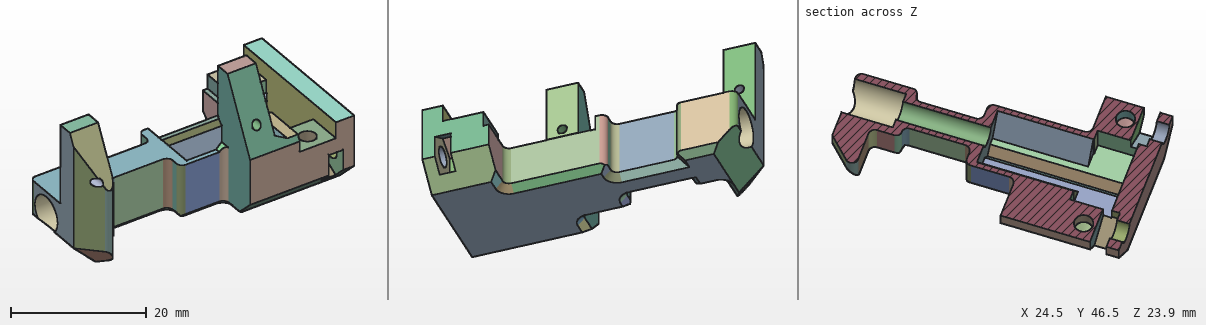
import cadquery as cq
import math

LENGTH = 46.5
WIDTH = 24.5
HALF_WIDTH = WIDTH / 2
HEIGHT = 23.9

BEAM_TOP = 9.9
BLOCK_TOP = 10.05
WALL_TOP = 12.9
LOW_WALL_TOP = 7.55
FLOOR = 1.9
BORE_Z = 6.0

HEAD_FRONT = LENGTH - 10.5
BODY_HALF = 5.55
BODY_FRONT = 20.1
BEAM_HALF = 2.45
END_HALF = 4.3
END_BACK = 9.6
ARM_THICK = 5.0
ARM_SPACING = 28.0
TAB_TIP = 10.9
CORNER_RADIUS = 0.98
SHOULDER_RADIUS = 0.9

EDGE_CHAMFER = 1.1
BIG_CHAMFER = 3.9

BACK_WALL = 3.25
CAVITY_BACK = LENGTH - BACK_WALL
HEAD_CAVITY_FRONT = LENGTH - 9.65
CAVITY_FRONT = 21.75
HEAD_CAVITY_HALF = 6.25
BODY_CAVITY_HALF = 4.7
RAMP_BACK = LENGTH - 9.8
RAMP_FOOT = 2.3
RAMP_ANGLE = 60
GROOVE_HALF = 1.2
GROOVE_DEPTH = 1.5

ARM_LEFT = 3.7
ARM_FLAT_RIGHT = 6.3
ARM_SLOPE_END_Z = 11.9
ARM_STEP_TOP = 13.8
ARM_STEP_BACK = LENGTH - 11.6
ARM_FOOT_RISE = 0.98
PIN_DIAMETER = 1.5
PIN_Z = 16.05

ARM_FRONT = ARM_SPACING
ARM_BACK = ARM_FRONT + ARM_THICK
TIP_X = TAB_TIP - CORNER_RADIUS
TIP_Y = ARM_THICK - CORNER_RADIUS
TAB_DIAGONAL_START = TIP_X - TIP_Y + CORNER_RADIUS * math.sqrt(2)

BORE_DIAMETER = 3.2
COUNTERBORE_DIAMETER = 6.0
COUNTERBORE_DEPTH = 8.0

SCREW_X = 9.5
SCREW_FROM_BACK = 6.45
SCREW_DIAMETER = 2.8
SCREW_DEPTH = 6.0
DRILL_POINT_ANGLE = 118
NUT_X = 9.0
NUT_FLATS = 5.8
NUT_BACK = LENGTH - 2.0
NUT_THICK = 2.5
NUT_SLOT_ANGLE = 30
NUT_Z = BORE_Z
BOLT_DIAMETER = 3.2

PICK = 0.05


def box(x0, x1, y0, y1, z0, z1):
    """Block between two opposite corners."""
    return cq.Workplane("XY").box(x1 - x0, y1 - y0, z1 - z0, centered=False).translate((x0, y0, z0))


def along_y(points, y0, y1):
    """Prism of an X-Z outline between two Y positions."""
    return cq.Workplane("XZ", origin=(0, y0, 0)).polyline(points).close().extrude(y0 - y1)


def along_x(points, x0, x1):
    """Prism of a Y-Z outline between two X positions."""
    return cq.Workplane("YZ", origin=(x0, 0, 0)).polyline(points).close().extrude(x1 - x0)


def rod_y(x, z, diameter, y0, y1):
    """Cylinder along Y."""
    return cq.Workplane("XZ", origin=(x, y0, z)).circle(diameter / 2).extrude(y0 - y1)


def both_sides(shape):
    """A shape joined with its mirror image across the X = 0 plane."""
    return shape.union(shape.mirror("YZ"))


def fillet_uprights(solid, corners, radius):
    """Round the vertical edges that stand at the given plan corners."""
    for x, y in corners:
        spot = cq.selectors.BoxSelector((x - PICK, y - PICK, 0), (x + PICK, y + PICK, HEIGHT))
        solid = solid.edges("|Z").edges(spot).fillet(radius)
    return solid


def full_height_body():
    """Plan outline as a tall prism with its lower edge chamfered and its upright edges rounded."""
    head_left = (-HALF_WIDTH, HEAD_FRONT)
    neck_left = (-BODY_HALF, HEAD_FRONT)
    neck_right = (BODY_HALF, ARM_FRONT)
    head_right = (HALF_WIDTH, ARM_FRONT)
    body_left, body_right = (-BODY_HALF, BODY_FRONT), (BODY_HALF, BODY_FRONT)
    beam_left, beam_right = (-BEAM_HALF, BODY_FRONT), (BEAM_HALF, BODY_FRONT)
    waist_left, waist_right = (-BEAM_HALF, END_BACK), (BEAM_HALF, END_BACK)
    end_left, end_right = (-END_HALF, END_BACK), (END_HALF, END_BACK)
    tab_root = (END_HALF, ARM_THICK)
    tab_back, tab_front = (TAB_TIP, ARM_THICK), (TAB_TIP, 0)
    front_left = (-END_HALF, 0)
    outline = [
        (-HALF_WIDTH, LENGTH), head_left, neck_left, body_left, beam_left, waist_left, end_left, front_left,
        tab_front, tab_back, tab_root, end_right, waist_right, beam_right, body_right, neck_right, head_right,
        (HALF_WIDTH, LENGTH),
    ]
    body = cq.Workplane("XY").polyline(outline).close().extrude(HEIGHT)
    body = fillet_uprights(body, [neck_left, beam_left, tab_root, beam_right, neck_right], CORNER_RADIUS)
    inside_head_sides = cq.selectors.BoxSelector(
        (PICK - HALF_WIDTH, -PICK, -PICK), (HALF_WIDTH - PICK, LENGTH - PICK, PICK)
    )
    body = body.faces("<Z").edges(inside_head_sides).chamfer(EDGE_CHAMFER)
    body = fillet_uprights(body, [waist_left, waist_right], SHOULDER_RADIUS)
    body = fillet_uprights(body, [body_left, front_left, body_right], CORNER_RADIUS)
    return fillet_uprights(body, [end_left, end_right], SHOULDER_RADIUS)


def side_profile():
    """Y-Z silhouette that sets every top height along the part."""
    points = [
        (0, 0), (0, HEIGHT), (ARM_THICK, HEIGHT), (ARM_THICK, BEAM_TOP),
        (ARM_FRONT - ARM_FOOT_RISE, BEAM_TOP), (ARM_FRONT, BEAM_TOP + ARM_FOOT_RISE),
        (ARM_FRONT, HEIGHT), (ARM_BACK, HEIGHT), (ARM_BACK, ARM_STEP_TOP), (ARM_STEP_BACK, WALL_TOP),
        (HEAD_CAVITY_FRONT, WALL_TOP), (HEAD_CAVITY_FRONT, BLOCK_TOP), (CAVITY_BACK, BLOCK_TOP),
        (CAVITY_BACK, WALL_TOP), (LENGTH, WALL_TOP), (LENGTH, 0),
    ]
    return along_x(points, -HALF_WIDTH, HALF_WIDTH)


def arm_trim():
    """Material removed left of both arms and above their sloping right edge."""
    left = box(-HALF_WIDTH, ARM_LEFT, 0, HEAD_CAVITY_FRONT, BEAM_TOP, HEIGHT)
    slope = [(ARM_FLAT_RIGHT, HEIGHT), (HALF_WIDTH, HEIGHT), (HALF_WIDTH, ARM_SLOPE_END_Z)]
    return left.union(along_y(slope, 0, HEAD_CAVITY_FRONT))


def tab_tip_trim():
    """Corner outside the 45 degree face and the round tip of the front arm."""
    diagonal = CORNER_RADIUS * math.sin(math.radians(45))
    return (
        cq.Workplane("XY")
        .moveTo(TAB_DIAGONAL_START, 0)
        .lineTo(TIP_X + diagonal, TIP_Y - diagonal)
        .threePointArc((TAB_TIP, TIP_Y), (TIP_X, ARM_THICK))
        .lineTo(HALF_WIDTH, ARM_THICK)
        .lineTo(HALF_WIDTH, 0)
        .close()
        .extrude(HEIGHT)
    )


def front_underside_trim():
    """45 degree cut under the front face, carried on along the tab's diagonal face."""
    slope_plane = cq.Plane(origin=(0, 0, BIG_CHAMFER), xDir=(1, 0, 0), normal=(0, 1, -1))
    run = HALF_WIDTH - TAB_DIAGONAL_START
    profile = [
        (-HALF_WIDTH, 0), (TAB_DIAGONAL_START, 0), (HALF_WIDTH, -run * math.sin(math.radians(45))),
        (HALF_WIDTH, BIG_CHAMFER), (-HALF_WIDTH, BIG_CHAMFER),
    ]
    return cq.Workplane(slope_plane).polyline(profile).close().extrude(2 * BIG_CHAMFER)


def head_underside_trim():
    """45 degree cuts under both sides of the head."""
    corner = [(HALF_WIDTH, 0), (HALF_WIDTH, BIG_CHAMFER), (HALF_WIDTH - BIG_CHAMFER, 0)]
    return both_sides(along_y(corner, ARM_FRONT, LENGTH))


def cavity():
    """Open trough with a wide back end, ramped sides, a V groove and a 45 degree roof under the arm."""
    head = box(-HEAD_CAVITY_HALF, HEAD_CAVITY_HALF, HEAD_CAVITY_FRONT, CAVITY_BACK, FLOOR, WALL_TOP)
    roof_top = ARM_STEP_TOP + BODY_CAVITY_HALF - ARM_LEFT
    trough_outline = [
        (-BODY_CAVITY_HALF, FLOOR), (BODY_CAVITY_HALF, FLOOR), (BODY_CAVITY_HALF, ARM_STEP_TOP),
        (ARM_LEFT, roof_top), (-BODY_CAVITY_HALF, roof_top),
    ]
    trough = along_y(trough_outline, CAVITY_FRONT, HEAD_CAVITY_FRONT)
    ramp_top = FLOOR + (BODY_CAVITY_HALF - RAMP_FOOT) * math.tan(math.radians(RAMP_ANGLE))
    ramp = [(RAMP_FOOT, FLOOR), (BODY_CAVITY_HALF, FLOOR), (BODY_CAVITY_HALF, ramp_top)]
    ramps = both_sides(along_y(ramp, CAVITY_FRONT, RAMP_BACK))
    groove_outline = [(-GROOVE_HALF, FLOOR), (0, FLOOR - GROOVE_DEPTH), (GROOVE_HALF, FLOOR)]
    groove = along_y(groove_outline, CAVITY_FRONT, CAVITY_BACK)
    return head.union(trough).cut(ramps).union(groove)


def low_wall_trim():
    """Lowers the left wall of the trough and the ledge in front of the left block."""
    return box(-HALF_WIDTH, -BODY_CAVITY_HALF, CAVITY_FRONT, HEAD_CAVITY_FRONT, LOW_WALL_TOP, BLOCK_TOP)


def bore():
    """Stepped bore along Y from the front face into the trough."""
    return rod_y(0, BORE_Z, BORE_DIAMETER, 0, CAVITY_FRONT).union(
        rod_y(0, BORE_Z, COUNTERBORE_DIAMETER, 0, COUNTERBORE_DEPTH)
    )


def arm_pin_hole():
    """Cross hole through both arms."""
    holes = cq.Workplane("YZ").pushPoints([(ARM_THICK / 2 + y, PIN_Z) for y in (0, ARM_SPACING)])
    return holes.circle(PIN_DIAMETER / 2).extrude(HALF_WIDTH)


def screw_hole():
    """Blind drilled hole down into the right block, with a conical end."""
    radius = SCREW_DIAMETER / 2
    point_depth = radius / math.tan(math.radians(DRILL_POINT_ANGLE / 2))
    profile = [(0, 0), (radius, 0), (radius, -SCREW_DEPTH), (0, -SCREW_DEPTH - point_depth)]
    hole = cq.Workplane("XZ").polyline(profile).close().revolve(360, (0, 0), (0, 1))
    return hole.translate((SCREW_X, LENGTH - SCREW_FROM_BACK, BLOCK_TOP))


def nut_slot():
    """Hexagonal nut seat in the right block, running out and down to the side, with its bolt hole."""
    corner_radius = NUT_FLATS / math.sqrt(3)

    def corner(degrees, slide=0):
        angle = math.radians(degrees)
        way_out = math.radians(-NUT_SLOT_ANGLE)
        return (
            NUT_X + corner_radius * math.cos(angle) + slide * math.cos(way_out),
            NUT_Z + corner_radius * math.sin(angle) + slide * math.sin(way_out),
        )

    slide = 2 * NUT_FLATS
    outline = [corner(90), corner(150), corner(210), corner(210, slide), corner(90, slide)]
    seat = along_y(outline, NUT_BACK - NUT_THICK, NUT_BACK)
    return seat.union(rod_y(NUT_X, NUT_Z, BOLT_DIAMETER, NUT_BACK, LENGTH))


result = full_height_body().intersect(side_profile())
for trim in (
    arm_trim(), tab_tip_trim(), front_underside_trim(), head_underside_trim(),
    cavity(), low_wall_trim(), bore(), arm_pin_hole(),
    both_sides(screw_hole()), both_sides(nut_slot()),
):
    result = result.cut(trim)